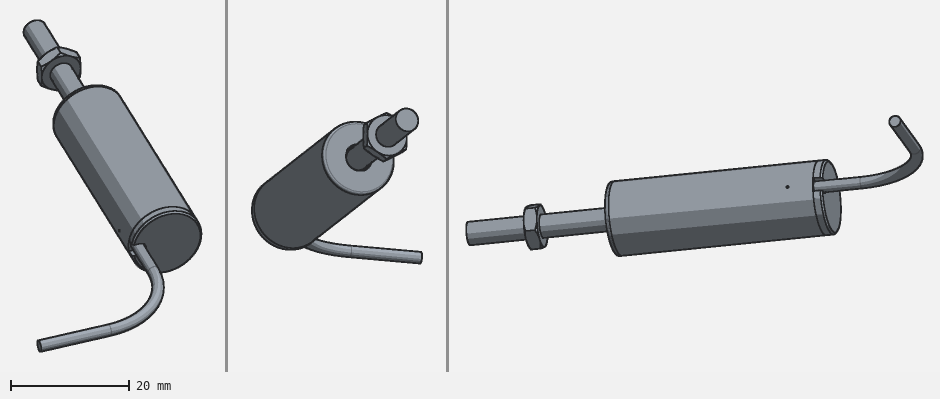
import cadquery as cq

NUT_START = 10.5
BODY_START = 25.4
FRONT_CAP_END = 26.15
REAR_CAP_START = 61.9
BODY_END = 63.5
INDICATOR_X = 57.5
BEND_START = 70.05
OVERALL_LENGTH = 83.8

BODY_RADIUS = 6.4
FRONT_FILLET = 0.4
REAR_CHAMFER = 0.3
INDICATOR_DIAMETER = 0.3
INDICATOR_DEPTH = 0.4

ROD_RADIUS = 2.0
ROD_CLEARANCE = 0.3
NUT_THICKNESS = 2.35
NUT_ACROSS_FLATS = 7.0
NUT_CHAMFER_RADIUS = NUT_ACROSS_FLATS / 2
NUT_CHAMFER_LENGTH = 0.3
HEX_CORNER_RADIUS = NUT_ACROSS_FLATS / 3 ** 0.5

CABLE_RADIUS = 1.0
CABLE_Y = -4.95
CABLE_END_Y = -30.3
BEND_RADIUS = OVERALL_LENGTH - CABLE_RADIUS - BEND_START
SLOT_WIDTH = 2.35


def cylinder_x(start, end, radius):
    """Solid cylinder centred on the X axis."""
    return cq.Workplane("YZ", origin=(start, 0, 0)).circle(radius).extrude(end - start)


def make_rod():
    """Plain rod that passes through the front cap with clearance and seats on the housing."""
    return cylinder_x(0, FRONT_CAP_END, ROD_RADIUS)


def make_nut():
    """Hexagonal nut with corners along Z, turned down to cones on both faces."""
    hexagon = (
        cq.Workplane("YZ", origin=(NUT_START, 0, 0))
        .polygon(6, 2 * HEX_CORNER_RADIUS)
        .extrude(NUT_THICKNESS)
        .rotate((0, 0, 0), (1, 0, 0), 90)
    )
    nut_end = NUT_START + NUT_THICKNESS
    envelope = (
        cq.Workplane("XY")
        .moveTo(NUT_START, 0)
        .lineTo(NUT_START, NUT_CHAMFER_RADIUS)
        .lineTo(NUT_START + NUT_CHAMFER_LENGTH, HEX_CORNER_RADIUS)
        .lineTo(nut_end - NUT_CHAMFER_LENGTH, HEX_CORNER_RADIUS)
        .lineTo(nut_end, NUT_CHAMFER_RADIUS)
        .lineTo(nut_end, 0)
        .close()
        .revolve(360, (0, 0, 0), (1, 0, 0))
    )
    return hexagon.intersect(envelope).cut(make_rod())


def make_front_cap():
    """Thin round-edged disc with a clearance hole around the rod."""
    disc = cylinder_x(BODY_START, FRONT_CAP_END, BODY_RADIUS)
    rod_hole = cylinder_x(BODY_START, FRONT_CAP_END, ROD_RADIUS + ROD_CLEARANCE)
    return disc.faces("<X").fillet(FRONT_FILLET).cut(rod_hole)


def make_housing():
    """Main cylinder with a tiny blind indicator hole on its -Y side."""
    housing = cylinder_x(FRONT_CAP_END, REAR_CAP_START, BODY_RADIUS)
    indicator_hole = (
        cq.Workplane("XZ", origin=(INDICATOR_X, -BODY_RADIUS + INDICATOR_DEPTH, 0))
        .circle(INDICATOR_DIAMETER / 2)
        .extrude(2 * INDICATOR_DEPTH)
    )
    return housing.cut(indicator_hole)


def make_rear_cap():
    """Chamfered disc with a round-bottomed cable slot open towards -Y."""
    thickness = BODY_END - REAR_CAP_START
    cap = cylinder_x(REAR_CAP_START, BODY_END, BODY_RADIUS).faces(">X").chamfer(REAR_CHAMFER)
    slot_plane = cq.Workplane("YZ", origin=(REAR_CAP_START, CABLE_Y, 0))
    slot_bottom = slot_plane.circle(SLOT_WIDTH / 2).extrude(thickness)
    slot_opening = slot_plane.center(-BODY_RADIUS / 2, 0).rect(BODY_RADIUS, SLOT_WIDTH).extrude(thickness)
    return cap.cut(slot_bottom).cut(slot_opening)


def make_cable():
    """Round cable: straight exit, quarter-circle bend, straight tail."""
    path = (
        cq.Workplane("XY")
        .moveTo(REAR_CAP_START, CABLE_Y)
        .lineTo(BEND_START, CABLE_Y)
        .radiusArc((BEND_START + BEND_RADIUS, CABLE_Y - BEND_RADIUS), BEND_RADIUS)
        .lineTo(BEND_START + BEND_RADIUS, CABLE_END_Y)
    )
    return cq.Workplane("YZ", origin=(REAR_CAP_START, CABLE_Y, 0)).circle(CABLE_RADIUS).sweep(path)


rod = make_rod()
nut = make_nut()
front_cap = make_front_cap()
housing = make_housing()
rear_cap = make_rear_cap()
cable = make_cable()

result = cq.Compound.makeCompound(
    [rod.val(), nut.val(), front_cap.val(), housing.val(), rear_cap.val(), cable.val()]
)